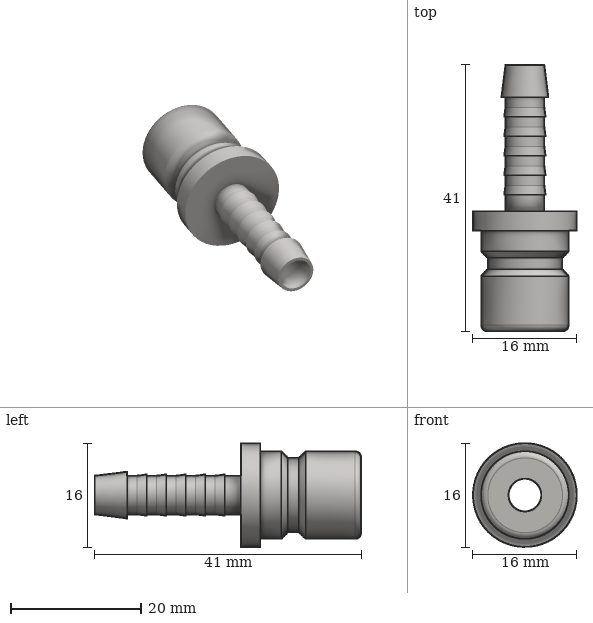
import cadquery as cq

total_length = 41.0
bore_diameter = 5.0

plug_diameter = 13.5
plug_edge_radius = 1.0
groove_diameter = 11.5
groove_flank_start = 8.5
groove_floor_start = 9.57
groove_floor_end = 11.3

flange_diameter = 16.0
flange_start = 15.5
flange_width = 3.0

stem_diameter = 6.0
ridge_diameter = 6.4
ridge_count = 5
ridge_length = 1.5
ridge_pitch = 2 * ridge_length
barb_diameter = 7.25
barb_length = 5.0

groove_depth = (plug_diameter - groove_diameter) / 2
groove_flank_end = groove_floor_end + groove_depth
barb_start = total_length - barb_length


def revolved(profile):
    """Solid swept by turning a closed (radius, Y) profile about the Y axis."""
    outline = cq.Workplane("XY").polyline(profile).close()
    return outline.revolve(360, (0, 0, 0), (0, 1, 0))


def cylinder(diameter, start, length):
    """Solid cylinder on the Y axis, running in +Y from start."""
    plane = cq.Workplane("XZ", origin=(0, start, 0))
    return plane.circle(diameter / 2).extrude(-length)


def taper(start_diameter, end_diameter, start, length):
    """Solid cone frustum on the Y axis, running in +Y from start."""
    end = start + length
    profile = [
        (0, start),
        (start_diameter / 2, start),
        (end_diameter / 2, end),
        (0, end),
    ]
    return revolved(profile)


def make_plug():
    """Plug cylinder with a rounded front edge and a groove with sloping flanks."""
    plug = cylinder(plug_diameter, 0, flange_start)
    plug = plug.faces("<Y").edges().fillet(plug_edge_radius)
    groove_profile = [
        (plug_diameter / 2, groove_flank_start),
        (groove_diameter / 2, groove_floor_start),
        (groove_diameter / 2, groove_floor_end),
        (plug_diameter / 2, groove_flank_end),
    ]
    return plug.cut(revolved(groove_profile))


def make_stem():
    """Hose stem whose ridges and barb all narrow towards the hose end."""
    stem_start = flange_start + flange_width
    stem = cylinder(stem_diameter, stem_start, barb_start - stem_start)
    for index in range(ridge_count):
        ridge_start = barb_start - (index + 1) * ridge_pitch
        stem = stem.union(taper(ridge_diameter, stem_diameter, ridge_start, ridge_length))
    return stem.union(taper(barb_diameter, stem_diameter, barb_start, barb_length))


flange = cylinder(flange_diameter, flange_start, flange_width)
bore = cylinder(bore_diameter, 0, total_length)

result = make_plug().union(flange).union(make_stem()).cut(bore)